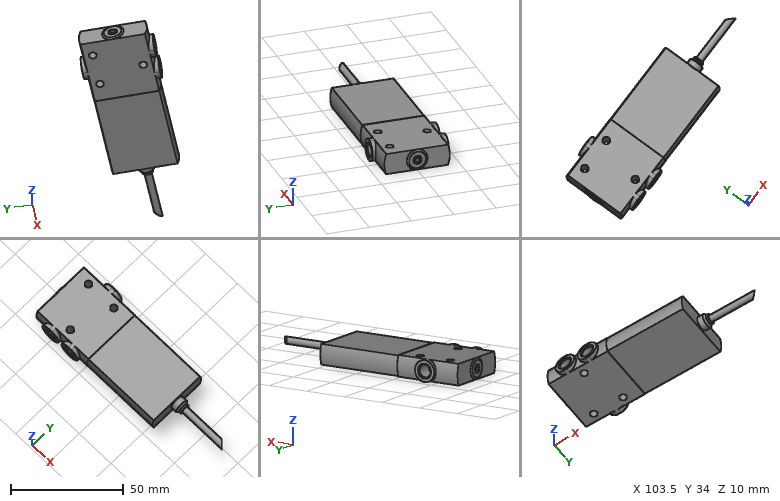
import cadquery as cq

TOTAL_LENGTH = 103.5
CAP_HEIGHT = 0.5
HEAD_LENGTH = 32.0
BODY_LENGTH = 41.0
HEAD_END = CAP_HEIGHT + HEAD_LENGTH
BODY_END = HEAD_END + BODY_LENGTH

HEAD_WIDTH = 31.0
BODY_WIDTH = 30.8
FLAT_WIDTH = 29.2
HEAD_HEIGHT = 10.0
BODY_HEIGHT = 9.5

PORT_SPAN = 34.0
PORT_DIAMETER = 10.2
PORT_BORE_DIAMETER = 5.92
PORT_MOUTH_DIAMETER = 7.0
PORT_DEPTH = 8.0
FRONT_PORTS_X = (11.0, 23.0)
BACK_PORT_X = sum(FRONT_PORTS_X) / 2

HOLE_DIAMETER = 3.4
HOLE_OFFSET_Y = 10.5
HOLE_SPACING_X = 16.0
FIRST_HOLE_X = 7.5
BACK_HOLES_X = (FIRST_HOLE_X, FIRST_HOLE_X + HOLE_SPACING_X)
FRONT_HOLE_X = BACK_PORT_X

CAP_BASE_DIAMETER = 9.8
CAP_FACE_DIAMETER = 8.0
RECESS_DIAMETER = 4.0
BUTTON_DIAMETER = 2.0
RECESS_DEPTH = 1.5

GLAND_DIAMETER = 7.0
GLAND_LENGTH = 3.0
COLLAR_DIAMETER = 5.0
COLLAR_LENGTH = 1.0
GLAND_CONE_LENGTH = (GLAND_DIAMETER - COLLAR_DIAMETER) / 2
CABLE_DIAMETER = 3.4


def barrel_bar(start_x, length, width, height):
    """Bar along X with flat top and bottom and arc-shaped long sides."""
    half_width = width / 2
    half_flat = FLAT_WIDTH / 2
    half_height = height / 2
    return (
        cq.Workplane("YZ", origin=(start_x, 0, 0))
        .moveTo(-half_flat, -half_height)
        .lineTo(half_flat, -half_height)
        .threePointArc((half_width, 0), (half_flat, half_height))
        .lineTo(-half_flat, half_height)
        .threePointArc((-half_width, 0), (-half_flat, -half_height))
        .close()
        .extrude(length)
    )


def turned_x(profile):
    """Solid of revolution about the X axis from (x, radius) points."""
    return cq.Workplane("XY").polyline(profile).close().revolve(360, (0, 0), (1, 0))


def port_plane(x, side):
    """Workplane on a port's outer face, its normal pointing into the head."""
    plane = cq.Plane(origin=(x, side * PORT_SPAN / 2, 0), xDir=(1, 0, 0), normal=(0, -side, 0))
    return cq.Workplane(plane)


def port_boss(x, side):
    """Round boss trimmed flush with the top and bottom of the head."""
    boss = port_plane(x, side).circle(PORT_DIAMETER / 2).extrude(PORT_DEPTH)
    trim = cq.Workplane("XY").box(2 * TOTAL_LENGTH, 2 * PORT_SPAN, HEAD_HEIGHT)
    return boss.intersect(trim)


def port_bore(x, side):
    """Blind bore with a 45 degree chamfered mouth."""
    mouth_radius = PORT_MOUTH_DIAMETER / 2
    bore_radius = PORT_BORE_DIAMETER / 2
    chamfer = mouth_radius - bore_radius
    mouth = cq.Solid.makeCone(
        mouth_radius,
        bore_radius,
        chamfer,
        cq.Vector(x, side * PORT_SPAN / 2, 0),
        cq.Vector(0, -side, 0),
    )
    return port_plane(x, side).circle(bore_radius).extrude(PORT_DEPTH).union(mouth)


def mounting_holes():
    """Two through holes near the +Y side and one near the -Y side."""
    centres = [(x, HOLE_OFFSET_Y) for x in BACK_HOLES_X]
    centres.append((FRONT_HOLE_X, -HOLE_OFFSET_Y))
    return (
        cq.Workplane("XY", origin=(0, 0, -HEAD_HEIGHT / 2))
        .pushPoints(centres)
        .circle(HOLE_DIAMETER / 2)
        .extrude(HEAD_HEIGHT)
    )


def end_cap():
    """Low conical disc on the front end of the head."""
    return turned_x([
        (0, 0),
        (0, CAP_FACE_DIAMETER / 2),
        (CAP_HEIGHT, CAP_BASE_DIAMETER / 2),
        (CAP_HEIGHT, 0),
    ])


def cap_recess():
    """Ring-shaped recess that leaves the button standing."""
    return (
        cq.Workplane("YZ")
        .circle(RECESS_DIAMETER / 2)
        .circle(BUTTON_DIAMETER / 2)
        .extrude(RECESS_DEPTH)
    )


def cable_gland():
    """Gland that tapers down to a narrower collar around the cable."""
    cone_start = BODY_END + GLAND_LENGTH
    cone_end = cone_start + GLAND_CONE_LENGTH
    collar_end = cone_end + COLLAR_LENGTH
    return turned_x([
        (BODY_END, 0),
        (BODY_END, GLAND_DIAMETER / 2),
        (cone_start, GLAND_DIAMETER / 2),
        (cone_end, COLLAR_DIAMETER / 2),
        (collar_end, COLLAR_DIAMETER / 2),
        (collar_end, 0),
    ])


def cable():
    """Cable cut off at 45 degrees, longest on the -Y side."""
    radius = CABLE_DIAMETER / 2
    rod = (
        cq.Workplane("YZ", origin=(BODY_END, 0, 0))
        .circle(radius)
        .extrude(TOTAL_LENGTH - BODY_END)
    )
    offcut = (
        cq.Workplane("XY", origin=(0, 0, -radius))
        .moveTo(TOTAL_LENGTH, -radius)
        .lineTo(TOTAL_LENGTH, radius)
        .lineTo(TOTAL_LENGTH - CABLE_DIAMETER, radius)
        .close()
        .extrude(CABLE_DIAMETER)
    )
    return rod.cut(offcut)


FRONT, BACK = -1, 1
ports = [(x, FRONT) for x in FRONT_PORTS_X] + [(BACK_PORT_X, BACK)]

head = barrel_bar(CAP_HEIGHT, HEAD_LENGTH, HEAD_WIDTH, HEAD_HEIGHT)
for x, side in ports:
    head = head.union(port_boss(x, side))
for x, side in ports:
    head = head.cut(port_bore(x, side))
head = head.cut(mounting_holes())
head = head.union(end_cap()).cut(cap_recess())

body = barrel_bar(HEAD_END, BODY_LENGTH, BODY_WIDTH, BODY_HEIGHT)
result = head.union(body).union(cable_gland()).union(cable())